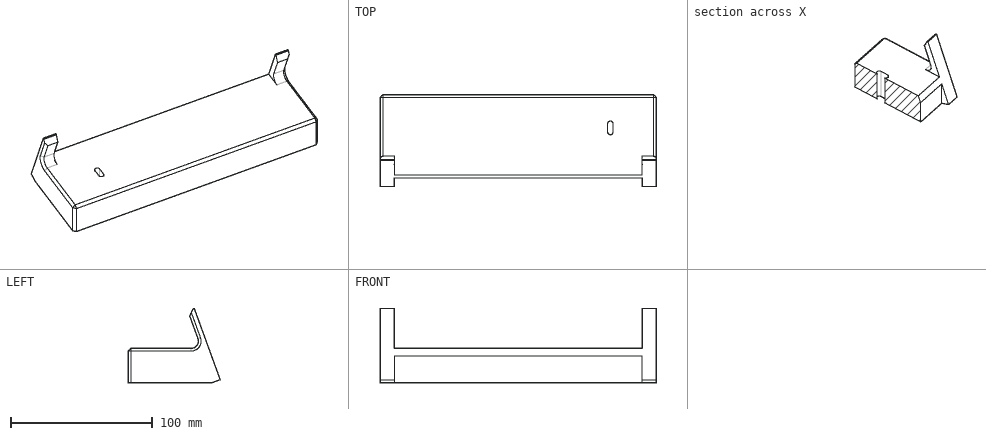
import cadquery as cq
import math

length = 195.0
depth = 65.07
height = 52.69

deck_height = 24.5
recess_depth = 6.1
edge_chamfer = 2.0

lean_degrees = 20.0
arm_width = 10.0
arm_thickness = 5.0
tip_bevel = 4.0
root_radius = 5.0

slot_x = 65.0
slot_y = 41.5
slot_length = 9.5
slot_width = 3.7

lean = math.radians(lean_degrees)
half_length = length / 2
toe_height = recess_depth * math.tan(lean)
recess_height = toe_height + recess_depth / math.tan(lean)
rim_tolerance = 0.01


def front_y(z):
    """Y of the leaning front plane at height z."""
    return (z - toe_height) * math.tan(lean)


def arm_back_y(z):
    """Y of the back of the arms at height z."""
    return front_y(z) + arm_thickness / math.cos(lean)


def tip_point(back, down):
    """(Y, Z) reached from the tip edge by going square to the arm, then down along it."""
    y = front_y(height) + back * math.cos(lean) - down * math.sin(lean)
    z = height - back * math.sin(lean) - down * math.cos(lean)
    return (y, z)


def extrude_along_x(outline, x_start, width):
    return outline.extrude(width).translate((x_start, 0, 0))


def base_outline():
    """Side outline of the base between the arms, with the recessed front."""
    return cq.Workplane("YZ").polyline([
        (recess_depth, 0),
        (recess_depth, recess_height),
        (front_y(deck_height), deck_height),
        (depth, deck_height),
        (depth, 0),
    ]).close()


def end_outline():
    """Side outline of the base together with an arm that has a square tip."""
    corner_y = arm_back_y(deck_height)
    half_turn = (math.pi / 2 + lean) / 2
    tangent = root_radius * math.tan(half_turn)
    center_y = corner_y + tangent
    center_z = deck_height + root_radius
    arc_top = (corner_y + tangent * math.sin(lean), deck_height + tangent * math.cos(lean))
    arc_middle = (
        center_y - root_radius * math.sin(half_turn),
        center_z - root_radius * math.cos(half_turn),
    )
    return (
        cq.Workplane("YZ")
        .moveTo(recess_depth, 0)
        .lineTo(0, toe_height)
        .lineTo(front_y(height), height)
        .lineTo(*tip_point(arm_thickness, 0))
        .lineTo(*arc_top)
        .threePointArc(arc_middle, (center_y, deck_height))
        .lineTo(depth, deck_height)
        .lineTo(depth, 0)
        .close()
    )


def is_rim_edge(edge):
    """True for the outer edges of the deck, root fillets and arm backs, and the back corners."""
    center = edge.Center()
    is_above_bottom = center.z > rim_tolerance
    is_on_back = abs(center.y - depth) < rim_tolerance
    if is_on_back:
        return is_above_bottom
    is_on_end = edge.BoundingBox().xlen < rim_tolerance and abs(center.x) > half_length - rim_tolerance
    is_deck_or_higher = center.z > deck_height - rim_tolerance
    arm_middle_y = (front_y(center.z) + arm_back_y(center.z)) / 2
    is_behind_arm_middle = center.y > arm_middle_y + rim_tolerance
    return is_on_end and is_deck_or_higher and is_behind_arm_middle


def chamfer_rim(body):
    rim = [edge for edge in body.edges().vals() if is_rim_edge(edge)]
    return body.newObject(rim).chamfer(edge_chamfer)


def bevel_cutter():
    """Wedge that takes the back corner off both arm tips."""
    outline = cq.Workplane("YZ").polyline([
        tip_point(arm_thickness - tip_bevel, 0),
        tip_point(arm_thickness, 0),
        tip_point(arm_thickness, tip_bevel),
    ]).close()
    return extrude_along_x(outline, -half_length, length)


def slot_cutter():
    return (
        cq.Workplane("XY")
        .center(slot_x, slot_y)
        .slot2D(slot_length, slot_width, 90)
        .extrude(deck_height)
    )


result = extrude_along_x(base_outline(), -half_length, length)
for x_start in (-half_length, half_length - arm_width):
    result = result.union(extrude_along_x(end_outline(), x_start, arm_width))
result = chamfer_rim(result.clean())
result = result.cut(bevel_cutter()).cut(slot_cutter())